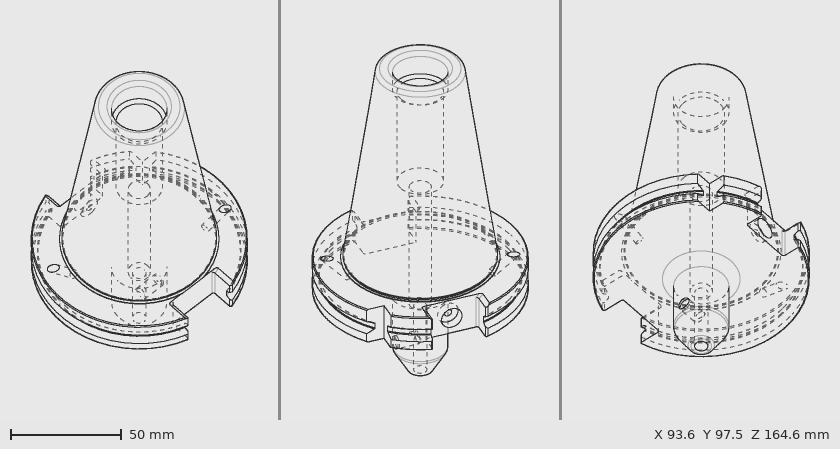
import cadquery as cq
import math


gauge_radius = 69.85 / 2
taper_length = 101.6
taper_slope = 7 / 48
taper_end_radius = gauge_radius - taper_length * taper_slope
taper_end_fillet = 2.0
gauge_land = 0.5
neck_undercut = 0.5
neck_radius = gauge_radius - neck_undercut

flange_radius = 97.5 / 2
flange_top = -1.2
flange_bottom = -19.1
flange_height = flange_top - flange_bottom
flange_chamfer = 0.5
neck_relief_width = 1.0
neck_relief_radius = gauge_radius + neck_relief_width
neck_relief_depth = 0.3

groove_flank_angle = 30.0
groove_center = -11.05
groove_floor_radius = 91.25 / 2
groove_floor_width = 3.0
groove_root_fillet = 0.5
groove_floor_half = groove_floor_width / 2
groove_depth = flange_radius - groove_floor_radius
groove_mouth_half = groove_floor_half + groove_depth * math.tan(math.radians(groove_flank_angle))

nose_radius = 12.5
nose_end = -63.0
nose_root_fillet = 5.0
nose_tip_radius = 5.5
nose_cone_angle = 30.0
nose_cone_length = (nose_radius - nose_tip_radius) / math.tan(math.radians(nose_cone_angle))
nose_shoulder_fillet = 3.0
nose_tip_fillet = 1.5

pilot_radius = 12.5
pilot_depth = 11.5
pilot_edge_fillet = 2.0
thread_radius = 10.5
thread_end = 40.0
channel_radius = 5.0
shank_radius = 3.0
shank_depth = 36.0
drill_point_angle = 120.0
bore_step_slope = 1 / math.tan(math.radians(drill_point_angle / 2))

slot_half_width = 25.7 / 2
slot_floor_minus_x = 37.4
slot_floor_plus_x = 35.3
slot_corner_fillet = 1.0
slot_top_chamfer = 2.0
slot_mouth_half_width = 13.69
slot_mouth_chamfer = slot_mouth_half_width - slot_half_width
slot_mouth_x = math.sqrt(flange_radius**2 - slot_mouth_half_width**2)

notch_offset = 30.0

chip_radius = 5.0
chip_depth = 4.6
chip_dimple_radius = 1.75
chip_dimple_depth = chip_dimple_radius * bore_step_slope

coolant_radius = 2.0
coolant_circle_radius = 42.1
coolant_direction = 70.0
coolant_tilt = 45.0
coolant_depth = 14.0

screw_radius = 3.0
screw_length = 10.0
screw_to_nose_end = 18.0
screw_height = nose_end + screw_to_nose_end
screw_tip_y = 1.3

selection_margin = 0.1
cut_overrun = 1.0


def edge_circle(radius, height):
    """Select the full circle of the given radius at the given height."""

    def flat_box(half_width):
        low = (-half_width, -half_width, height - selection_margin)
        high = (half_width, half_width, height + selection_margin)
        return cq.selectors.BoxSelector(low, high, boundingbox=True)

    return flat_box(radius + selection_margin) - flat_box(radius - selection_margin)


def make_blank():
    """Revolve the outer shape, then round its edges."""
    profile = [
        (0, taper_length),
        (taper_end_radius, taper_length),
        (gauge_radius, 0),
        (gauge_radius, -gauge_land),
        (neck_radius, -gauge_land),
        (neck_radius, flange_top - neck_relief_depth),
        (neck_relief_radius, flange_top - neck_relief_depth),
        (neck_relief_radius, flange_top),
        (flange_radius - flange_chamfer, flange_top),
        (flange_radius, flange_top - flange_chamfer),
        (flange_radius, groove_center + groove_mouth_half),
        (groove_floor_radius, groove_center + groove_floor_half),
        (groove_floor_radius, groove_center - groove_floor_half),
        (flange_radius, groove_center - groove_mouth_half),
        (flange_radius, flange_bottom + flange_chamfer),
        (flange_radius - flange_chamfer, flange_bottom),
        (nose_radius, flange_bottom),
        (nose_radius, nose_end + nose_cone_length),
        (nose_tip_radius, nose_end),
        (0, nose_end),
    ]
    blank = cq.Workplane("XZ").polyline(profile).close().revolve(360, (0, 0, 0), (0, 1, 0))
    rounded_edges = [
        (taper_end_radius, taper_length, taper_end_fillet),
        (groove_floor_radius, groove_center + groove_floor_half, groove_root_fillet),
        (groove_floor_radius, groove_center - groove_floor_half, groove_root_fillet),
        (nose_radius, flange_bottom, nose_root_fillet),
        (nose_radius, nose_end + nose_cone_length, nose_shoulder_fillet),
        (nose_tip_radius, nose_end, nose_tip_fillet),
    ]
    for radius, height, fillet in rounded_edges:
        blank = blank.edges(edge_circle(radius, height)).fillet(fillet)
    return blank


def make_bore():
    """Revolve the stepped bore; each step down is a drill point cone."""
    pilot_floor = taper_length - pilot_depth
    channel_end = nose_end + shank_depth
    arc_end = (pilot_radius, taper_length - pilot_edge_fillet)
    arc_shift = pilot_edge_fillet * (1 - math.sqrt(0.5))
    arc_middle = (pilot_radius + arc_shift, taper_length - arc_shift)
    return (
        cq.Workplane("XZ")
        .moveTo(0, taper_length)
        .lineTo(pilot_radius + pilot_edge_fillet, taper_length)
        .threePointArc(arc_middle, arc_end)
        .lineTo(pilot_radius, pilot_floor)
        .lineTo(thread_radius, pilot_floor - (pilot_radius - thread_radius) * bore_step_slope)
        .lineTo(thread_radius, thread_end)
        .lineTo(channel_radius, thread_end - (thread_radius - channel_radius) * bore_step_slope)
        .lineTo(channel_radius, channel_end)
        .lineTo(shank_radius, channel_end - (channel_radius - shank_radius) * bore_step_slope)
        .lineTo(shank_radius, nose_end)
        .lineTo(0, nose_end)
        .close()
        .revolve(360, (0, 0, 0), (0, 1, 0))
    )


def make_slot(side, floor_distance):
    """Drive slot on the -X side (side = -1) or the +X side (side = 1)."""
    outer_x = flange_radius + cut_overrun
    slot_length = outer_x - floor_distance
    slot = (
        cq.Workplane("XY", origin=(floor_distance + slot_length / 2, 0, flange_bottom))
        .rect(slot_length, 2 * slot_half_width)
        .extrude(flange_height)
        .edges("|Z and <X")
        .fillet(slot_corner_fillet)
    )
    top_half_width = slot_half_width + slot_top_chamfer
    top_flare = (
        cq.Workplane("YZ", origin=(floor_distance, 0, 0))
        .polyline([
            (-top_half_width, flange_top),
            (top_half_width, flange_top),
            (slot_half_width, flange_top - slot_top_chamfer),
            (-slot_half_width, flange_top - slot_top_chamfer),
        ])
        .close()
        .extrude(slot_length)
        .edges("<X and (not |Y)")
        .fillet(slot_corner_fillet)
    )
    outer_half_width = slot_mouth_half_width + outer_x - slot_mouth_x
    mouth_flare = (
        cq.Workplane("XY", origin=(0, 0, flange_bottom))
        .polyline([
            (slot_mouth_x - slot_mouth_chamfer, -slot_half_width),
            (outer_x, -outer_half_width),
            (outer_x, outer_half_width),
            (slot_mouth_x - slot_mouth_chamfer, slot_half_width),
        ])
        .close()
        .extrude(flange_height)
    )
    slot = slot.union(top_flare).union(mouth_flare)
    return slot if side > 0 else slot.mirror("YZ")


def make_notch():
    """Square orientation notch through the full flange height."""
    reach = flange_radius
    return cq.Workplane("XY").box(reach, reach, flange_height, centered=False).translate(
        (-notch_offset - reach, notch_offset, flange_bottom)
    )


def make_chip_recess():
    """Flat recess with a small conical dimple, sunk into the floor of the -X slot."""
    profile = [
        (0, 0),
        (chip_radius, 0),
        (chip_radius, chip_depth),
        (chip_dimple_radius, chip_depth),
        (0, chip_depth + chip_dimple_depth),
    ]
    return (
        cq.Workplane("XY")
        .polyline(profile)
        .close()
        .revolve(360, (0, 0, 0), (0, 1, 0))
        .rotate((0, 0, 0), (0, 0, 1), -90)
        .translate((-slot_floor_minus_x, 0, groove_center))
    )


def make_coolant_hole(direction):
    """Blind hole that slants down and inwards from the upper flange face."""
    tilt = math.radians(coolant_tilt)
    inwards = cq.Vector(-math.sin(tilt), 0, -math.cos(tilt))
    overrun = 2 * coolant_radius
    start = cq.Vector(coolant_circle_radius, 0, flange_top) - inwards * overrun
    hole = cq.Solid.makeCylinder(coolant_radius, coolant_depth + overrun, start, inwards)
    return cq.Workplane(hole).rotate((0, 0, 0), (0, 0, 1), direction)


def make_holder():
    holder = make_blank().cut(make_bore())
    holder = holder.cut(make_slot(-1, slot_floor_minus_x))
    holder = holder.cut(make_slot(1, slot_floor_plus_x))
    holder = holder.cut(make_notch()).cut(make_chip_recess())
    for direction in (coolant_direction, coolant_direction + 180):
        holder = holder.cut(make_coolant_hole(direction))
    return holder.cut(screw_cylinder(0, nose_radius + cut_overrun))


def screw_cylinder(start_y, end_y):
    """Cylinder of the screw's radius along +Y at the screw's height."""
    return cq.Workplane("XZ", origin=(0, start_y, screw_height)).circle(screw_radius).extrude(start_y - end_y)


def make_set_screw():
    return screw_cylinder(screw_tip_y, screw_tip_y + screw_length)


holder = make_holder()
set_screw = make_set_screw()

result = cq.Compound.makeCompound([holder.val(), set_screw.val()])